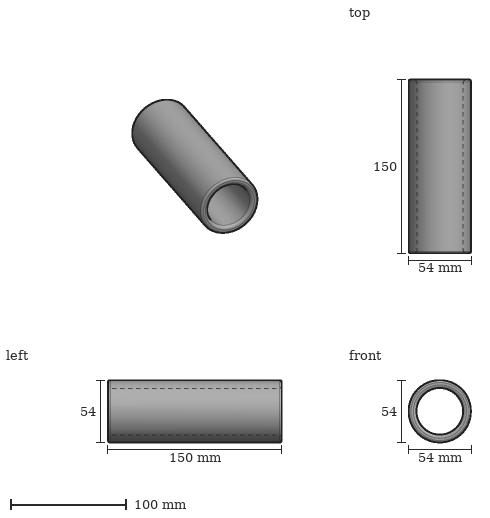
import cadquery as cq

length = 150.0
outer_diameter = 54.0
bore_diameter = 40.0
outer_rim_fillet = 2.0
inner_rim_fillet = 3.0

outer_radius = outer_diameter / 2
bore_radius = bore_diameter / 2
radius_tolerance = 0.02

tube = (
    cq.Workplane("XZ", origin=(0, length / 2, 0))
    .circle(outer_radius)
    .circle(bore_radius)
    .extrude(length)
)


def round_rims(body, rim_radius, fillet_radius):
    """Round the circular edges of the given radius on both end faces."""
    rims = body.faces("<Y or >Y").edges().filter(
        lambda edge: abs(edge.radius() - rim_radius) < radius_tolerance
    )
    return rims.fillet(fillet_radius)


outer_rounded = round_rims(tube, outer_radius, outer_rim_fillet)
result = round_rims(outer_rounded, bore_radius, inner_rim_fillet)